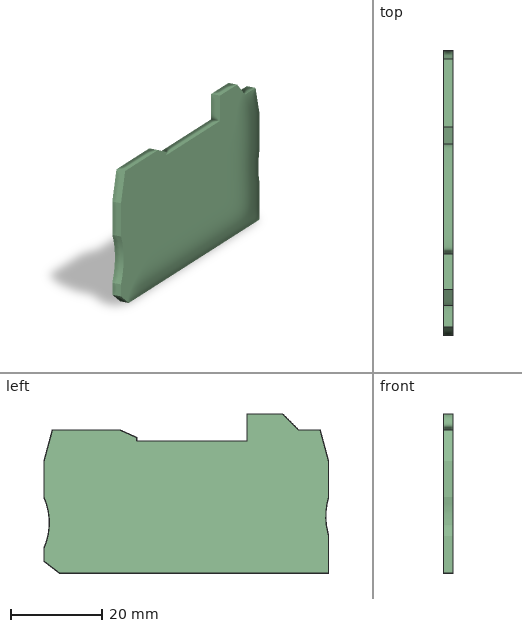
import cadquery as cq

thickness = 2.2
length = 62.6
height = 35.05
front_y = -length / 2
back_y = length / 2

shoulder_z = 31.55
taper_inset = 1.9
taper_start_z = 24.6
recess_floor_z = 29.1
recess_length = 24.15
tab_back_y = -13.35
tab_length = 7.8
tab_slope_run = 3.5
ramp_run = 3.75
ramp_end_z = 29.85
recess_back_y = tab_back_y + recess_length

hollow_top_z = 16.8
back_hollow_bottom_z = 5.5
back_hollow_depth = 1.2
front_hollow_bottom_z = 8.2
front_arc_end_z = 10.6
front_arc_end_depth = 0.5
front_arc_mid_depth = 0.55

corner_run = 3.5
corner_rise = 2.7

back_hollow_mid = (back_y - back_hollow_depth, (hollow_top_z + back_hollow_bottom_z) / 2)
front_arc_mid = (front_y + front_arc_mid_depth, (hollow_top_z + front_arc_end_z) / 2)

outline = (
    cq.Workplane("YZ", origin=(-thickness / 2, 0, 0))
    .moveTo(front_y, 0)
    .lineTo(back_y - corner_run, 0)
    .lineTo(back_y, corner_rise)
    .lineTo(back_y, back_hollow_bottom_z)
    .threePointArc(back_hollow_mid, (back_y, hollow_top_z))
    .lineTo(back_y, taper_start_z)
    .lineTo(back_y - taper_inset, shoulder_z)
    .lineTo(recess_back_y + ramp_run, shoulder_z)
    .lineTo(recess_back_y, ramp_end_z)
    .lineTo(recess_back_y, recess_floor_z)
    .lineTo(tab_back_y, recess_floor_z)
    .lineTo(tab_back_y, height)
    .lineTo(tab_back_y - tab_length, height)
    .lineTo(tab_back_y - tab_length - tab_slope_run, shoulder_z)
    .lineTo(front_y + taper_inset, shoulder_z)
    .lineTo(front_y, taper_start_z)
    .lineTo(front_y, hollow_top_z)
    .threePointArc(front_arc_mid, (front_y + front_arc_end_depth, front_arc_end_z))
    .lineTo(front_y, front_hollow_bottom_z)
    .close()
)

result = outline.extrude(thickness)